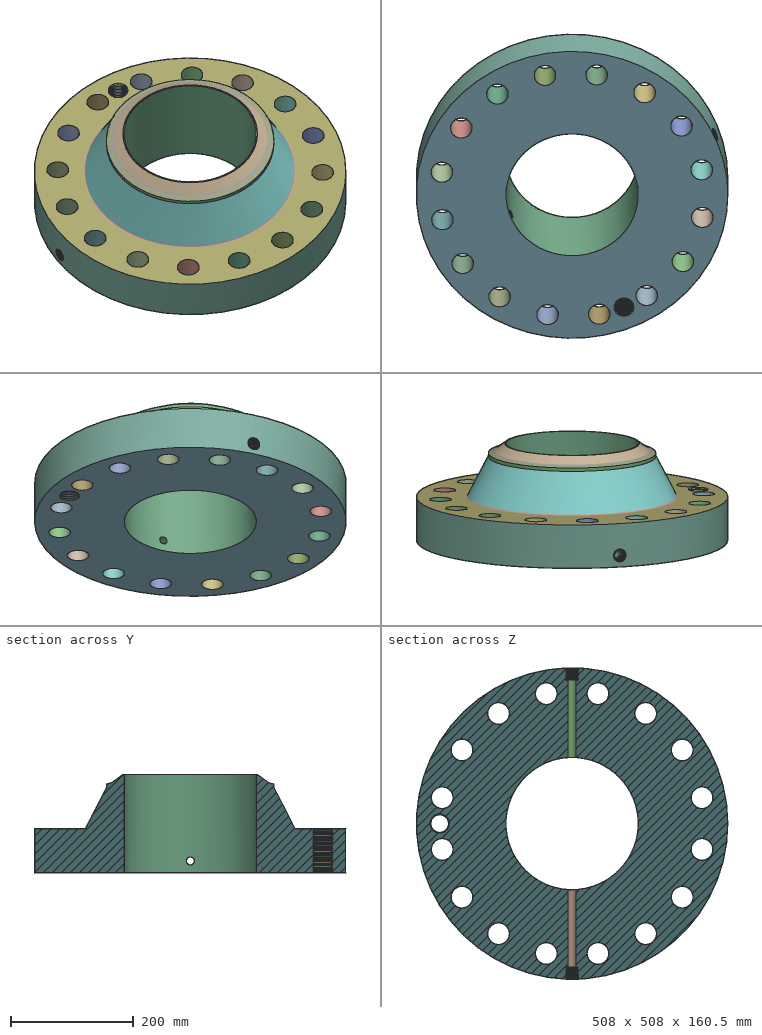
import cadquery as cq

flange_radius = 254
flange_height = 72.0
total_height = 160.5
bore_radius = 107.5

hub_foot_radius = 171.0
hub_foot_fillet = 2.5
lip_radius = 136.5
lip_bottom = 139.0
lip_top = 145.0
bevel_radius = 127
bevel_bottom = 148.0
rim_radius = 109.5
bevel_fillet = 5

bolt_circle_radius = 216.0
bolt_count = 16
bolt_hole_diameter = 35.0

jack_root_diameter = 32.0
jack_crest_diameter = 28.5
jack_thread_count = 20

tap_height = 19.5
tap_drill_diameter = 12.5
tap_root_diameter = 21.0
tap_crest_diameter = 18.5
tap_thread_count = 11
tap_thread_pitch = 1.85
tap_radius_taper = 1 / 32


def fillet_ring(body, ring_radius, height, fillet_radius):
    """Round the circular edge of the given radius and height about Z."""
    margin = 0.5
    corner = ring_radius + margin
    edge_box = cq.selectors.BoxSelector(
        (-corner, -corner, height - margin),
        (corner, corner, height + margin),
        boundingbox=True,
    )
    return body.edges("%CIRCLE").edges(edge_box).fillet(fillet_radius)


def make_body():
    """Revolve the half section of the weld-neck flange about Z."""
    section = (
        cq.Workplane("XZ")
        .moveTo(bore_radius, 0)
        .lineTo(flange_radius, 0)
        .lineTo(flange_radius, flange_height)
        .lineTo(hub_foot_radius, flange_height)
        .lineTo(lip_radius, lip_bottom)
        .lineTo(lip_radius, lip_top)
        .lineTo(bevel_radius, bevel_bottom)
        .lineTo(rim_radius, total_height)
        .lineTo(bore_radius, total_height)
        .close()
    )
    body = section.revolve(360, (0, 0, 0), (0, 1, 0))
    body = fillet_ring(body, hub_foot_radius, flange_height, hub_foot_fillet)
    return fillet_ring(body, bevel_radius, bevel_bottom, bevel_fillet)


def make_bolt_holes():
    half_step = 180 / bolt_count
    return (
        cq.Workplane("XY")
        .polarArray(bolt_circle_radius, half_step, 360, bolt_count)
        .circle(bolt_hole_diameter / 2)
        .extrude(flange_height)
    )


def make_thread_cutter(root_radius, crest_radius, pitch, count, radius_taper=0):
    """Return a threaded plug about Z, from z = 0 up, with V-shaped rings for turns.

    The radius shrinks by radius_taper for every unit of depth.
    """
    outline = [(0, 0)]
    for turn in range(count):
        start = turn * pitch
        middle = start + pitch / 2
        outline.append((root_radius - radius_taper * start, start))
        outline.append((crest_radius - radius_taper * middle, middle))
    length = count * pitch
    outline.append((root_radius - radius_taper * length, length))
    outline.append((0, length))
    section = cq.Workplane("XZ").polyline(outline).close()
    return section.revolve(360, (0, 0, 0), (0, 1, 0))


def make_jack_hole():
    cutter = make_thread_cutter(
        jack_root_diameter / 2,
        jack_crest_diameter / 2,
        flange_height / jack_thread_count,
        jack_thread_count,
    )
    return cutter.translate((-bolt_circle_radius, 0, 0))


def make_pressure_tap():
    """Return the cutter for the tap on the -Y side of the rim."""
    thread = make_thread_cutter(
        tap_root_diameter / 2,
        tap_crest_diameter / 2,
        tap_thread_pitch,
        tap_thread_count,
        tap_radius_taper,
    )
    drill = cq.Workplane("XY").circle(tap_drill_diameter / 2).extrude(flange_radius)
    inward = thread.union(drill).rotate((0, 0, 0), (1, 0, 0), -90)
    return inward.translate((0, -flange_radius, tap_height))


front_tap = make_pressure_tap()
back_tap = front_tap.rotate((0, 0, 0), (0, 0, 1), 180)

result = (
    make_body()
    .cut(make_bolt_holes())
    .cut(make_jack_hole())
    .cut(front_tap)
    .cut(back_tap)
)